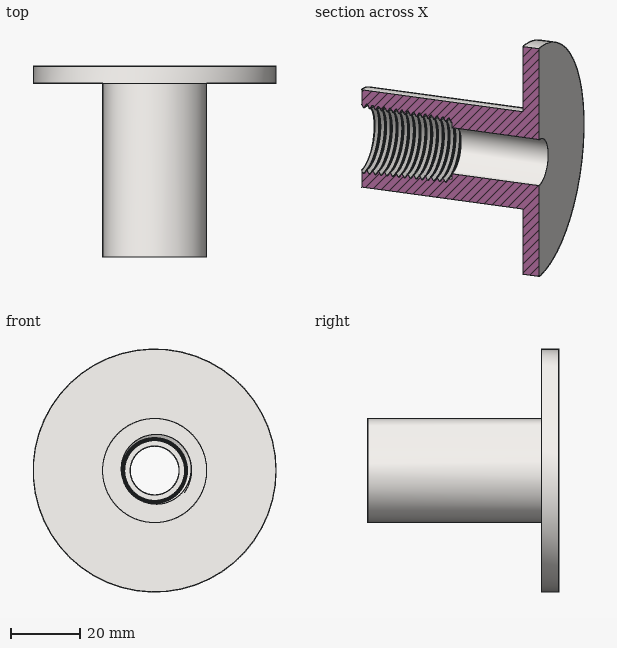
import cadquery as cq
import math

flange_diameter = 70.0
flange_thickness = 5.0
barrel_diameter = 30.0
barrel_length = 50.0
bore_diameter = 14.0

inch = 25.4
threads_per_inch = 14
thread_pitch = inch / threads_per_inch
thread_taper = 1 / 32
thread_depth = 28.0
crest_radius_at_mouth = 9.5
crest_radius_at_floor = crest_radius_at_mouth - thread_depth * thread_taper
groove_depth = 1.16
crest_flat = 0.2
root_flat = 0.2
groove_overlap = 0.05
start_angle = 62.0


def make_body():
    """Flange and barrel with the plain bore running right through."""
    flange = cq.Workplane("XZ").circle(flange_diameter / 2).extrude(-flange_thickness)
    barrel = cq.Workplane("XZ").circle(barrel_diameter / 2).extrude(barrel_length)
    bore = (
        cq.Workplane("XZ", origin=(0, flange_thickness, 0))
        .circle(bore_diameter / 2)
        .extrude(barrel_length + flange_thickness)
    )
    return flange.union(barrel).cut(bore)


def crest_radius(height):
    """Crest radius at a height above the floor of the threaded hole."""
    return crest_radius_at_floor + height * thread_taper


def make_crest_cone():
    """Tapered hole through the thread crests, from the floor (Z = 0) to the mouth."""
    return (
        cq.Workplane("XZ")
        .polyline([
            (0, 0),
            (crest_radius_at_floor, 0),
            (crest_radius_at_mouth, thread_depth),
            (0, thread_depth),
        ])
        .close()
        .revolve(360, (0, 0), (0, 1))
    )


def make_groove():
    """V groove on a conical helix, running from the floor to past the mouth."""
    start_height = thread_pitch / 2
    start_radius = crest_radius(start_height)
    helix = cq.Wire.makeHelix(
        thread_pitch,
        thread_depth,
        start_radius,
        center=cq.Vector(0, 0, start_height),
        angle=math.degrees(math.atan(thread_taper)),
    )
    half_mouth = (thread_pitch - crest_flat) / 2
    half_root = root_flat / 2
    inner = start_radius - groove_overlap
    outer = start_radius + groove_depth
    taper_rise = half_mouth * thread_taper
    profile = cq.Workplane("XZ").polyline([
        (inner - taper_rise, start_height - half_mouth),
        (outer, start_height - half_root),
        (outer, start_height + half_root),
        (inner + taper_rise, start_height + half_mouth),
    ]).close()
    return profile.sweep(cq.Workplane(helix), isFrenet=True)


def make_threaded_hole():
    """Cutter for the threaded hole, laid along the barrel with its mouth at the free end."""
    cutter = make_crest_cone().union(make_groove())
    return (
        cutter.rotate((0, 0, 0), (0, 0, 1), start_angle)
        .rotate((0, 0, 0), (1, 0, 0), 90)
        .translate((0, thread_depth - barrel_length, 0))
    )


result = make_body().cut(make_threaded_hole())